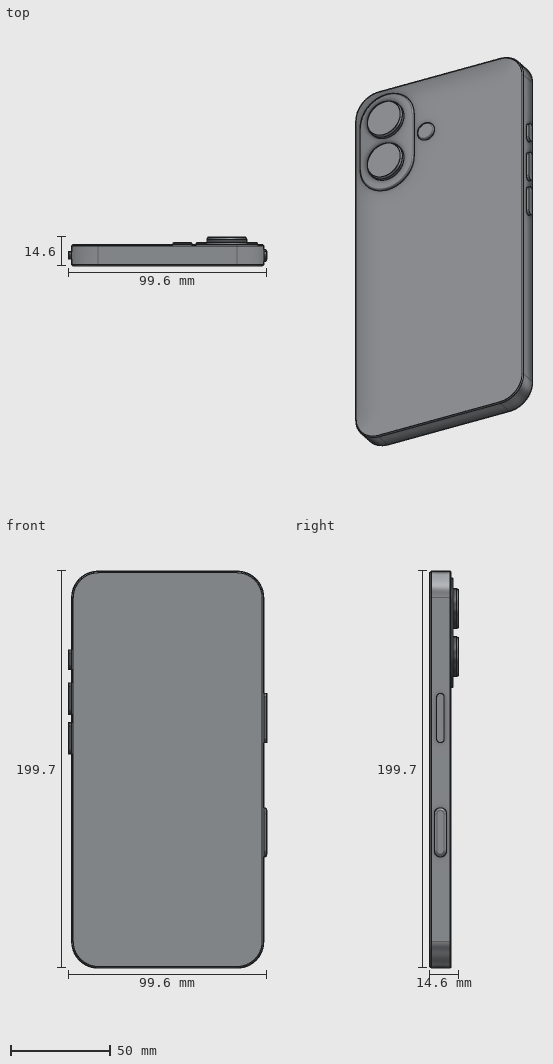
import cadquery as cq

HEIGHT = 199.7
WIDTH = 96.6
THICKNESS = 10.8
CORNER_RADIUS = 13.4
BACK_CHAMFER = 0.5

FRONT_CHAMFER = 0.8

SCREEN_THICKNESS = 1.0

ISLAND_WIDTH = 31.0
ISLAND_LENGTH = 55.1
ISLAND_RISE = 1.0
ISLAND_X = 29.8
ISLAND_Z = 68.9
RIM_FILLET = 0.5

LENS_DIAMETER = 20.2
LENS_RISE = 2.8
LENS_SPACING = ISLAND_LENGTH - ISLAND_WIDTH
LENS_CHAMFER_IN = 0.5
LENS_CHAMFER_DOWN = 1.2

FLASH_DIAMETER = 9.5
FLASH_X = 7.4

BUTTON_RISE = 1.5
BUTTON_WIDTH = 3.8
WIDE_BUTTON_WIDTH = 6.2
BUTTON_Y = THICKNESS / 2
WIDE_BUTTON_FILLET = 1.4
LEFT, RIGHT = -1, 1
BUTTONS = [
    (LEFT, 55.3, 9.8, BUTTON_WIDTH, 0),
    (LEFT, 35.7, 15.8, BUTTON_WIDTH, 0),
    (LEFT, 15.8, 15.8, BUTTON_WIDTH, 0),
    (RIGHT, 26.0, 24.8, BUTTON_WIDTH, 0),
    (RIGHT, -31.5, 24.8, WIDE_BUTTON_WIDTH, WIDE_BUTTON_FILLET),
]


def rounded_slab(thickness, inset=0.0):
    """Slab with the phone's outline, shrunk by inset, from the screen face (Y = 0) backwards."""
    slab = cq.Workplane("XY").box(WIDTH - 2 * inset, thickness, HEIGHT - 2 * inset)
    slab = slab.edges("|Y").fillet(CORNER_RADIUS - inset)
    return slab.translate((0, thickness / 2, 0))


def back_plane(x, z):
    """Workplane on the back face, facing outwards (+Y), centred at x, z."""
    return cq.Workplane(cq.Plane(origin=(x, THICKNESS, z), xDir=(0, 0, 1), normal=(0, 1, 0)))


def make_island():
    island = back_plane(ISLAND_X, ISLAND_Z).slot2D(ISLAND_LENGTH, ISLAND_WIDTH).extrude(ISLAND_RISE)
    return island.faces(">Y").fillet(RIM_FILLET)


def make_lens(z):
    """Lens ring standing on the island, with a tapered outer rim."""
    radius = LENS_DIAMETER / 2
    lens = back_plane(ISLAND_X, z).circle(radius).extrude(ISLAND_RISE + LENS_RISE - LENS_CHAMFER_DOWN)
    rim = lens.faces(">Y").workplane().circle(radius)
    return rim.workplane(offset=LENS_CHAMFER_DOWN).circle(radius - LENS_CHAMFER_IN).loft()


def make_flash():
    flash = back_plane(FLASH_X, ISLAND_Z).circle(FLASH_DIAMETER / 2).extrude(ISLAND_RISE)
    return flash.faces(">Y").fillet(RIM_FILLET)


def make_button(side, z, length, width, edge_fillet):
    wall = cq.Plane(origin=(side * WIDTH / 2, BUTTON_Y, z), xDir=(0, 0, 1), normal=(side, 0, 0))
    button = cq.Workplane(wall).slot2D(length, width).extrude(BUTTON_RISE)
    if edge_fillet > 0:
        button = button.faces(">X" if side == RIGHT else "<X").edges().fillet(edge_fillet)
    return button


def make_screen():
    return rounded_slab(SCREEN_THICKNESS, FRONT_CHAMFER)


def make_housing():
    housing = rounded_slab(THICKNESS)
    housing = housing.faces(">Y").chamfer(BACK_CHAMFER)
    housing = housing.faces("<Y").chamfer(FRONT_CHAMFER)
    housing = housing.cut(make_screen())
    housing = housing.union(make_island()).union(make_flash())
    for end in (-1, 1):
        housing = housing.union(make_lens(ISLAND_Z + end * LENS_SPACING / 2))
    for button in BUTTONS:
        housing = housing.union(make_button(*button))
    return housing


housing = make_housing()
screen = make_screen()

result = cq.Compound.makeCompound([housing.val(), screen.val()])